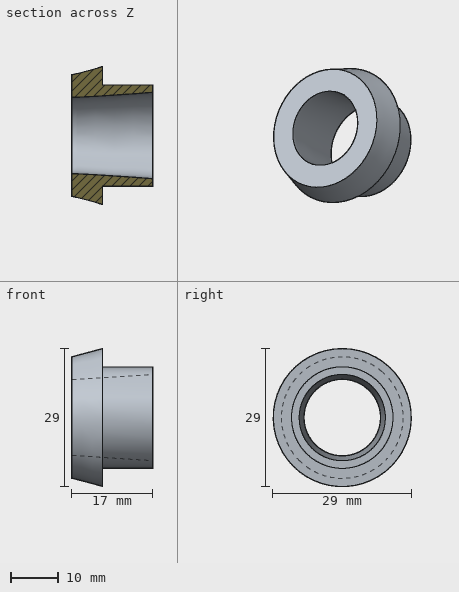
import cadquery as cq
import math

total_length = 17.0
flange_length = 6.5
bore_land_length = 1.0

flange_radius = 14.5
flange_taper_angle = 15.0
sleeve_radius = 10.65
bore_radius = 8.0
sleeve_end_wall = 1.6

flange_face_radius = flange_radius - flange_length * math.tan(math.radians(flange_taper_angle))
bore_end_radius = sleeve_radius - sleeve_end_wall


def revolve_about_x(profile):
    """Revolve a closed (x, radius) outline a full turn about the X axis."""
    outline = cq.Workplane("XZ").polyline(profile).close()
    return outline.revolve(360, (0, 0, 0), (1, 0, 0))


half_section = [
    (0, bore_radius),
    (0, flange_face_radius),
    (flange_length, flange_radius),
    (flange_length, sleeve_radius),
    (total_length, sleeve_radius),
    (total_length, bore_end_radius),
    (bore_land_length, bore_radius),
]

result = revolve_about_x(half_section)